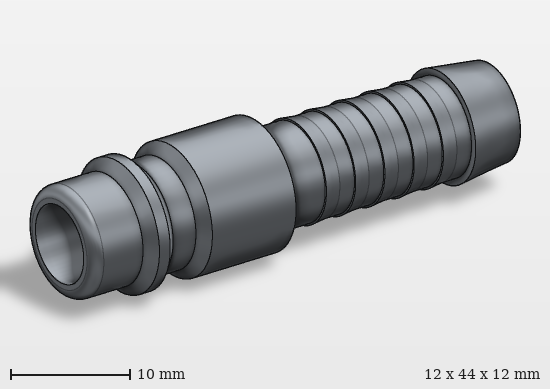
import cadquery as cq

length = 44.0
bore_radius = 3.5

plug_radius = 5.0
body_radius = 12.0 / 2
nose_fillet = 1.0
cone_height = body_radius - plug_radius
collar_start = 5.0
collar_land = 1.1
body_cone_start = 10.45
body_end = 19.98

stem_radius = 4.5
barb_radius = 4.65
barb_count = 5
barb_pitch = 3.0
barb_length = 1.5
first_barb = 24.02
end_barb_radius = 5.1
end_barb_length = 5.0


def cylinder(radius, start, end):
    """Cylinder along +Y between two positions."""
    return cq.Workplane(cq.Solid.makeCylinder(
        radius, end - start, cq.Vector(0, start, 0), cq.Vector(0, 1, 0)))


def cone(start_radius, end_radius, start, end):
    """Truncated cone along +Y between two positions."""
    return cq.Workplane(cq.Solid.makeCone(
        start_radius, end_radius, end - start, cq.Vector(0, start, 0), cq.Vector(0, 1, 0)))


def make_plug():
    """Round-nosed plug with a locking collar and a gripping body."""
    plug = cylinder(plug_radius, 0, body_end).faces("<Y").edges().fillet(nose_fillet)

    land_start = collar_start + cone_height
    land_end = land_start + collar_land
    plug = plug.union(cone(plug_radius, body_radius, collar_start, land_start))
    plug = plug.union(cylinder(body_radius, land_start, land_end))
    plug = plug.union(cone(body_radius, plug_radius, land_end, land_end + cone_height))

    body_start = body_cone_start + cone_height
    plug = plug.union(cone(plug_radius, body_radius, body_cone_start, body_start))
    return plug.union(cylinder(body_radius, body_start, body_end))


def make_hose_stem():
    """Stem whose barbs taper toward the free end and step down toward the body."""
    end_barb_start = length - end_barb_length
    stem = cylinder(stem_radius, body_end, end_barb_start)
    for index in range(barb_count):
        start = first_barb + index * barb_pitch
        stem = stem.union(cone(barb_radius, stem_radius, start, start + barb_length))
    return stem.union(cone(end_barb_radius, stem_radius, end_barb_start, length))


bore = cylinder(bore_radius, 0, length)
result = make_plug().union(make_hose_stem()).cut(bore)